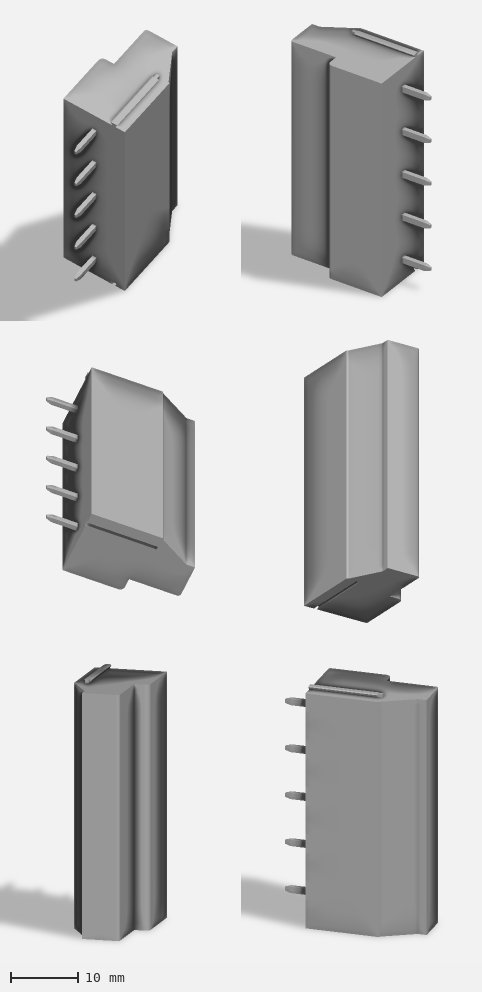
import cadquery as cq

pole_count = 5
total_length = 38.1
rail_height = 0.6
body_length = total_length - rail_height
pitch = body_length / pole_count

body_width = 11.2
body_depth = 18.02
step_width = 2.32
step_depth = 9.8
step_radius = 0.8
crown_right = 8.1
crown_radius = 0.5
slope_top = 16.6
slope_end_x = 10.95
slope_end_y = 11.7
side_depth = 11.5

rail_x = 9.2
rail_neck_width = 0.55
rail_wide_width = 1.2
rail_top_width = 0.75
rail_bevel_height = 0.1
rail_length = 10.8
tab_length = side_depth

pin_x = 5.68
pin_length = 5.0
pin_tip_length = 0.9
pin_width_x = 0.72
pin_width_z = 1.0
pin_tip_width_x = 0.35
pin_tip_width_z = 0.57


def make_housing():
    """Extrude the stepped profile and round its two left corners."""
    profile = [
        (0, 0),
        (body_width, 0),
        (body_width, side_depth),
        (slope_end_x, slope_end_y),
        (crown_right, slope_top),
        (crown_right, body_depth),
        (step_width, body_depth),
        (step_width, step_depth),
        (0, step_depth),
    ]
    housing = cq.Workplane("XY").polyline(profile).close().extrude(body_length)
    shelf_corner = cq.selectors.NearestToPointSelector((0, step_depth, body_length / 2))
    crown_corner = cq.selectors.NearestToPointSelector((step_width, body_depth, body_length / 2))
    housing = housing.edges(shelf_corner).fillet(step_radius)
    return housing.edges(crown_corner).fillet(crown_radius)


def extrude_section(half_section, length):
    """Mirror (half width, z) points about X = rail_x and extrude them from the pin face toward +Y."""
    right_side = [(rail_x + half_width, z) for half_width, z in half_section]
    left_side = [(rail_x - half_width, z) for half_width, z in reversed(half_section)]
    return cq.Workplane("XZ").polyline(right_side + left_side).close().extrude(-length)


def make_rail():
    """Dovetail rail with bevelled top edges and a narrow straight tab at its inner end."""
    half_section = [
        (rail_neck_width / 2, body_length),
        (rail_wide_width / 2, total_length - rail_bevel_height),
        (rail_top_width / 2, total_length),
    ]
    rail = extrude_section(half_section, rail_length)
    tab = extrude_section([(rail_neck_width / 2, z) for z in (body_length, total_length)], tab_length)
    return rail.union(tab)


def make_groove():
    """Dovetail groove that receives the rail and tab of a neighbouring block."""
    half_section = [
        (rail_neck_width / 2, 0),
        (rail_wide_width / 2, rail_height - rail_bevel_height),
        (rail_wide_width / 2, rail_height),
    ]
    return extrude_section(half_section, tab_length)


def make_pin(center_z):
    """Rectangular pin with a tapered tip, pointing toward -Y."""
    shank_length = pin_length - pin_tip_length
    pin_plane = cq.Workplane("XZ").center(pin_x, center_z)
    shank = pin_plane.rect(pin_width_x, pin_width_z).extrude(shank_length)
    tip = (
        shank.faces("<Y")
        .workplane(centerOption="CenterOfMass")
        .rect(pin_width_x, pin_width_z)
        .workplane(offset=pin_tip_length)
        .rect(pin_tip_width_x, pin_tip_width_z)
        .loft(combine=False)
    )
    return shank.union(tip)


result = make_housing().cut(make_groove()).union(make_rail())
for pole in range(pole_count):
    result = result.union(make_pin((pole + 0.5) * pitch))